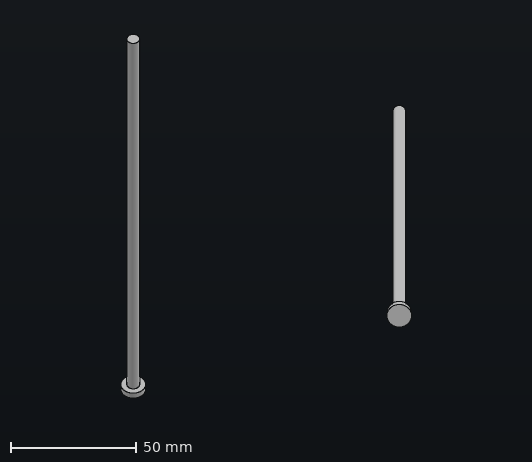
import cadquery as cq

total_length = 200.0
head_diameter = 10.0
head_thickness = 3.0
shaft_diameter = 5.2

head = cq.Workplane("XY").circle(head_diameter / 2).extrude(head_thickness)
shaft = cq.Workplane("XY").circle(shaft_diameter / 2).extrude(total_length)

result = head.union(shaft)